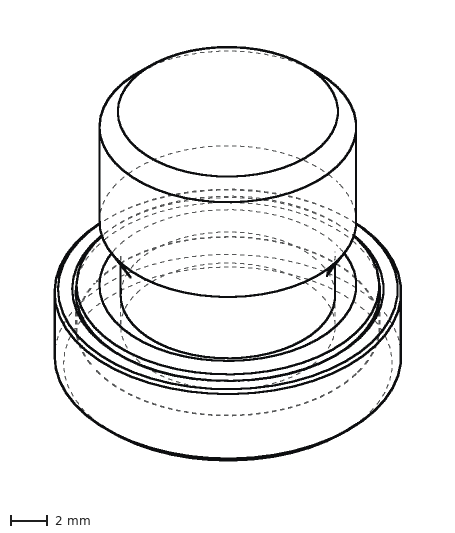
import cadquery as cq
import math

base_diameter = 18.9
base_radius = base_diameter / 2
base_height = 5.03
bottom_chamfer = 0.5
top_chamfer = 0.19

recess_radius = 16.6 / 2
recess_depth = 2.5
recess_floor = base_height - recess_depth
recess_mouth_chamfer = 0.19

neck_radius = 11.7 / 2
head_radius = 14.0 / 2
head_bottom = 9.6
total_height = 17.0
head_chamfer = 1.0
undercut_angle = 30
neck_fillet_radius = 1.13

ring_outer_radius = 16.5 / 2
ring_bore_radius = neck_radius
ring_top = 5.3
countersink_radius = head_radius
countersink_angle = 30


def revolve_profile(profile):
    """Revolve a closed radius-height outline around the Z axis."""
    return profile.close().revolve(360, (0, 0, 0), (0, 1, 0))


def make_stud():
    """Base flange with annular recess, neck, undercut cone and head."""
    slope = math.radians(undercut_angle)
    cone_bottom = head_bottom - (head_radius - neck_radius) / math.tan(slope)

    tangent_length = neck_fillet_radius * math.tan(slope / 2)
    fillet_bottom = cone_bottom - tangent_length
    fillet_top_radius = neck_radius + tangent_length * math.sin(slope)
    fillet_top = cone_bottom + tangent_length * math.cos(slope)
    fillet_middle_radius = neck_radius + neck_fillet_radius * (1 - math.cos(slope / 2))
    fillet_middle = fillet_bottom + neck_fillet_radius * math.sin(slope / 2)

    profile = (
        cq.Workplane("XZ")
        .moveTo(0, 0)
        .lineTo(base_radius - bottom_chamfer, 0)
        .lineTo(base_radius, bottom_chamfer)
        .lineTo(base_radius, base_height - top_chamfer)
        .lineTo(base_radius - top_chamfer, base_height)
        .lineTo(recess_radius + recess_mouth_chamfer, base_height)
        .lineTo(recess_radius, base_height - recess_mouth_chamfer)
        .lineTo(recess_radius, recess_floor)
        .lineTo(neck_radius, recess_floor)
        .lineTo(neck_radius, fillet_bottom)
        .threePointArc((fillet_middle_radius, fillet_middle), (fillet_top_radius, fillet_top))
        .lineTo(head_radius, head_bottom)
        .lineTo(head_radius, total_height - head_chamfer)
        .lineTo(head_radius - head_chamfer, total_height)
        .lineTo(0, total_height)
    )
    return revolve_profile(profile)


def make_ring():
    """Ring resting on the recess floor, with a conical countersink on top."""
    countersink_width = countersink_radius - ring_bore_radius
    countersink_depth = countersink_width * math.tan(math.radians(countersink_angle))
    profile = (
        cq.Workplane("XZ")
        .moveTo(ring_bore_radius, recess_floor)
        .lineTo(ring_outer_radius, recess_floor)
        .lineTo(ring_outer_radius, ring_top)
        .lineTo(countersink_radius, ring_top)
        .lineTo(ring_bore_radius, ring_top - countersink_depth)
    )
    return revolve_profile(profile)


stud = make_stud()
ring = make_ring()
result = cq.Compound.makeCompound([stud.val(), ring.val()])